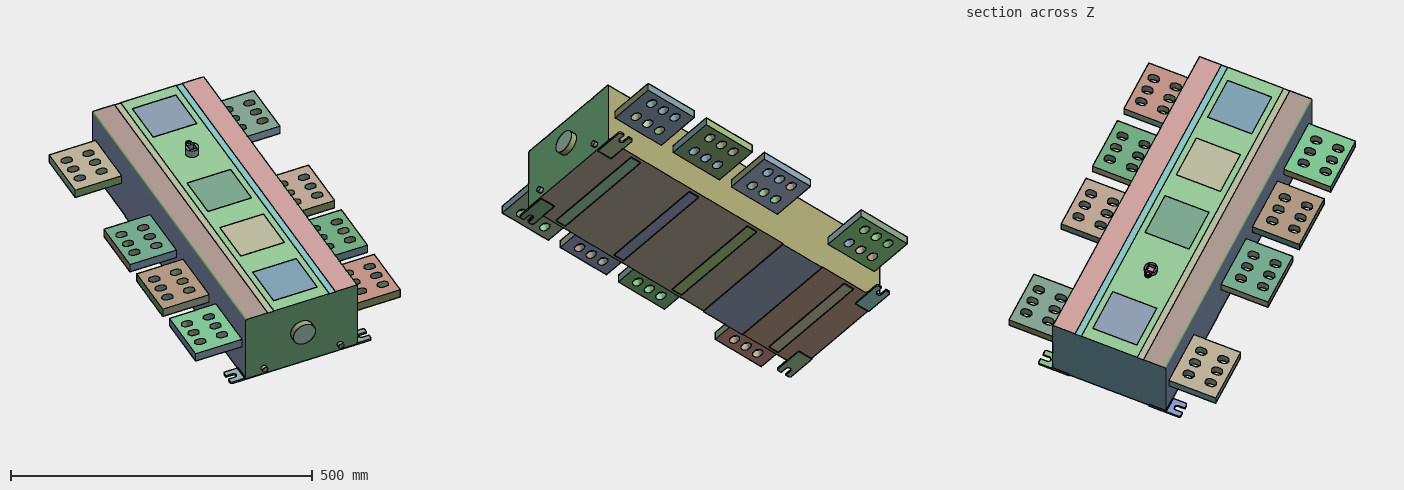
import cadquery as cq


total_length = 598.5
hub_length = 11.0
left_foot_overhang = 0.5
body_length = total_length - hub_length - left_foot_overhang
body_width = 206.0
body_bottom = 2.0
body_top = 132.0
edge_radius = 3.0

first_pole_x = 62.0
pole_gap = 209.5
pole_pitch = 125.5
second_pole_x = first_pole_x + pole_gap
pole_positions = [first_pole_x] + [second_pole_x + i * pole_pitch for i in range(3)]
shaft_x = first_pole_x + pole_gap / 2

bar_span = 376.5
bar_width = 100.0
bar_thickness = 16.0
bar_z = 70.5
slot_width = 14.0
slot_length = 19.0
slot_pitch_x = 25.0
slot_pitch_y = 40.0
slot_end_distance = 20.5

mark_depth = 0.5
window_size = 80.0
groove_inner_y = 51.0
groove_outer_y = 62.0

foot_width = 29.0
foot_span = 258.5
foot_thickness = 3.5
foot_inner_length = 30.0
foot_slot_width = 9.5
foot_slot_depth = 17.0
shoulder_top = 5.5
shoulder_overhang = 1.0
prong_tip_radius = 3.0
right_foot_inset = 2.0

pad_width = 20.5
pad_inset = 6.0
base_plate_width = 85.0

coupling_top = 146.0
coupling_diameter = 22.0
socket_size = 12.0
lug_diameter = 11.5
lug_offset = 12.0
lug_bottom = body_top + 2.5
lug_step_z = 139.0
lug_step = 0.5
lug_hole_diameter = 5.5

hub_diameter = 40.5
stub_diameter = 9.5
stub_length = 6.5
stub_y = 70.0
stub_z = 15.5


def block(x_min, x_max, y_min, y_max, z_min, z_max):
    """Box given by its limits along each axis."""
    size = (x_max - x_min, y_max - y_min, z_max - z_min)
    return cq.Workplane("XY").box(*size, centered=False).translate((x_min, y_min, z_min))


def upright_cylinder(x, diameter, z_min, z_max):
    """Vertical cylinder standing on the housing's centre plane."""
    return cq.Workplane("XY", origin=(x, 0, z_min)).circle(diameter / 2).extrude(z_max - z_min)


def make_housing():
    """Long box with rounded long top edges and shallow cover markings."""
    half_width = body_width / 2
    housing = block(0, body_length, -half_width, half_width, body_bottom, body_top)
    housing = housing.edges("|X and >Z").fillet(edge_radius)
    mark_floor = body_top - mark_depth
    for y_min, y_max in ((groove_inner_y, groove_outer_y), (-groove_outer_y, -groove_inner_y)):
        housing = housing.cut(block(0, body_length, y_min, y_max, mark_floor, body_top))
    windows = (
        cq.Workplane("XY", origin=(0, 0, mark_floor))
        .pushPoints([(x, 0) for x in pole_positions])
        .rect(window_size, window_size)
        .extrude(mark_depth)
    )
    return housing.cut(windows)


def make_terminal_bar(x):
    """Bar passing through the housing, with a 3 x 2 group of slots at each end."""
    bar = cq.Workplane("XY", origin=(x, 0, bar_z)).box(bar_width, bar_span, bar_thickness)
    outer_row = bar_span / 2 - slot_end_distance
    inner_row = outer_row - slot_pitch_y
    centers = [
        (column * slot_pitch_x, side * row)
        for column in (-1, 0, 1)
        for row in (inner_row, outer_row)
        for side in (-1, 1)
    ]
    return bar.faces(">Z").workplane().pushPoints(centers).slot2D(slot_length, slot_width, 90).cutThruAll()


def make_foot(x_min):
    """Forked foot with rounded outer corners at the +Y side and a raised shoulder against the housing."""
    x_max = x_min + foot_width
    wall = body_width / 2
    tip = foot_span / 2
    inner_end = wall - foot_inner_length
    foot = block(x_min, x_max, inner_end, tip, 0, foot_thickness)
    foot = foot.edges("|Z and >Y").fillet(prong_tip_radius)
    shoulder = block(x_min, x_max, inner_end, wall + shoulder_overhang, 0, shoulder_top)
    foot = foot.union(shoulder)
    fork_slot = (
        cq.Workplane("XY", origin=(x_min + foot_width / 2, tip, 0))
        .slot2D(2 * foot_slot_depth, foot_slot_width, 90)
        .extrude(foot_thickness)
    )
    return foot.cut(fork_slot)


def make_underside():
    """Base plate below the shaft and one narrow pad below each pole."""
    half_width = body_width / 2
    half_plate = base_plate_width / 2
    underside = block(shaft_x - half_plate, shaft_x + half_plate, -half_width, half_width, 0, body_bottom)
    pad_end = half_width - pad_inset
    for x in pole_positions:
        pad = block(x - pad_width / 2, x + pad_width / 2, -pad_end, pad_end, 0, body_bottom)
        underside = underside.add(pad)
    return underside.combine()


def make_coupling():
    """Round coupling with a square socket and a stepped, drilled lug on its left."""
    lug_x = shaft_x - lug_offset
    coupling = upright_cylinder(shaft_x, coupling_diameter, body_top, coupling_top)
    lug = upright_cylinder(lug_x, lug_diameter, lug_bottom, lug_step_z)
    lug = lug.union(upright_cylinder(lug_x, lug_diameter - 2 * lug_step, lug_step_z, coupling_top))
    coupling = coupling.union(lug)
    half_socket = socket_size / 2
    socket = block(
        shaft_x - half_socket, shaft_x + half_socket, -half_socket, half_socket, body_top, coupling_top
    )
    lug_hole = upright_cylinder(lug_x, lug_hole_diameter, lug_step_z, coupling_top)
    return coupling.cut(socket).cut(lug_hole)


def make_end_fittings():
    """Large hub and two small stubs on the right end face."""
    hub = cq.Workplane("YZ", origin=(body_length, 0, bar_z)).circle(hub_diameter / 2).extrude(hub_length)
    stubs = (
        cq.Workplane("YZ", origin=(body_length, 0, stub_z))
        .pushPoints([(-stub_y, 0), (stub_y, 0)])
        .circle(stub_diameter / 2)
        .extrude(stub_length)
    )
    return hub.add(stubs).vals()


result = make_housing().union(make_underside()).union(make_coupling())
for fitting in make_end_fittings():
    result = result.union(cq.Workplane(fitting))
for pole_x in pole_positions:
    result = result.union(make_terminal_bar(pole_x))
for foot_x in (-left_foot_overhang, body_length - right_foot_inset - foot_width):
    foot = make_foot(foot_x)
    result = result.union(foot).union(foot.mirror("XZ"))